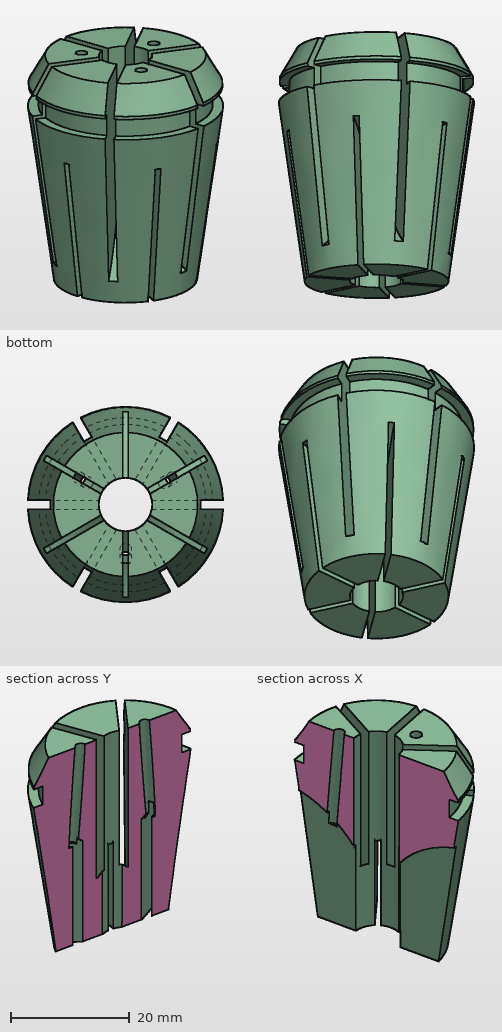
import cadquery as cq
import math

length = 40.0
bore_radius = 4.5

taper_length = 30.95
taper_top_diameter = 33.0
taper_top_radius = taper_top_diameter / 2
taper_angle = 8.0
taper_bottom_radius = taper_top_radius - taper_length * math.tan(math.radians(taper_angle))

groove_diameter = 29.4
groove_radius = groove_diameter / 2
groove_top = 34.55
rim_height = 0.55
rim_diameter = 32.75
rim_radius = rim_diameter / 2
rim_top = groove_top + rim_height
nose_angle = 30.0
nose_radius = rim_radius - (length - rim_top) * math.tan(math.radians(nose_angle))

slots_per_end = 6
slot_spacing = 360.0 / slots_per_end
outside_clearance = 2.0
cut_radius = taper_top_radius + outside_clearance

nose_slot_width = 1.5
nose_slot_saw_radius = 24.0
nose_slot_bore_height = 12.8
nose_slot_outer_height = 4.0
nose_slot_start_angle = 0.0

tail_slot_width = 1.0
tail_slot_saw_radius = 20.0
tail_slot_bore_height = 17.45
tail_slot_outer_height = 25.0
tail_slot_start_angle = slot_spacing / 2

coolant_hole_count = 3
coolant_hole_diameter = 2.0
coolant_hole_circle_radius = 7.5
coolant_hole_lean = 4.5
coolant_hole_depth = 20.0
coolant_hole_start_angle = 90.0


def taper_radius_at(height):
    return taper_bottom_radius + height * math.tan(math.radians(taper_angle))


def make_body():
    """Revolve the bored outer shape about Z."""
    return (
        cq.Workplane("XZ")
        .moveTo(bore_radius, 0)
        .lineTo(taper_bottom_radius, 0)
        .lineTo(taper_top_radius, taper_length)
        .lineTo(groove_radius, taper_length)
        .lineTo(groove_radius, groove_top)
        .lineTo(rim_radius, groove_top)
        .lineTo(rim_radius, rim_top)
        .lineTo(nose_radius, length)
        .lineTo(bore_radius, length)
        .close()
        .revolve(360, (0, 0, 0), (0, 1, 0))
    )


def arc_middle(start, end, radius, side):
    """Middle of an arc that bulges to the right (side = 1) or left (-1) of start -> end."""
    run = end[0] - start[0]
    rise = end[1] - start[1]
    chord = math.hypot(run, rise)
    bulge = side * (radius - math.sqrt(radius**2 - (chord / 2) ** 2))
    return (
        (start[0] + end[0]) / 2 + bulge * rise / chord,
        (start[1] + end[1]) / 2 - bulge * run / chord,
    )


def make_slot(width, saw_radius, bore_height, outer_height, open_height, side):
    """Radial slot along +X whose curved end lies between the bore and the taper surface."""
    bore_end = (bore_radius, bore_height)
    outer_end = (taper_radius_at(outer_height), outer_height)
    middle = arc_middle(bore_end, outer_end, saw_radius, side)
    return (
        cq.Workplane("XZ")
        .moveTo(0, open_height)
        .lineTo(0, bore_height)
        .lineTo(*bore_end)
        .threePointArc(middle, outer_end)
        .lineTo(cut_radius, outer_height)
        .lineTo(cut_radius, open_height)
        .close()
        .extrude(width / 2, both=True)
    )


def make_coolant_hole():
    """Leaning drill along +X, started above the nose face so that it opens fully."""
    lean = math.radians(coolant_hole_lean)
    direction = cq.Vector(math.sin(lean), 0, -math.cos(lean))
    entry = cq.Vector(coolant_hole_circle_radius, 0, length)
    lead_in = coolant_hole_diameter
    drill = cq.Solid.makeCylinder(
        coolant_hole_diameter / 2,
        lead_in + coolant_hole_depth,
        entry - direction * lead_in,
        direction,
    )
    return cq.Workplane(drill)


def cut_around(body, tool, count, start_angle):
    """Cut equally spaced copies of the tool about the Z axis."""
    for index in range(count):
        angle = start_angle + index * 360.0 / count
        body = body.cut(tool.rotate((0, 0, 0), (0, 0, 1), angle))
    return body


nose_slot = make_slot(
    nose_slot_width,
    nose_slot_saw_radius,
    nose_slot_bore_height,
    nose_slot_outer_height,
    length,
    side=1,
)
tail_slot = make_slot(
    tail_slot_width,
    tail_slot_saw_radius,
    tail_slot_bore_height,
    tail_slot_outer_height,
    0,
    side=-1,
)

result = make_body()
result = cut_around(result, nose_slot, slots_per_end, nose_slot_start_angle)
result = cut_around(result, tail_slot, slots_per_end, tail_slot_start_angle)
result = cut_around(result, make_coolant_hole(), coolant_hole_count, coolant_hole_start_angle)